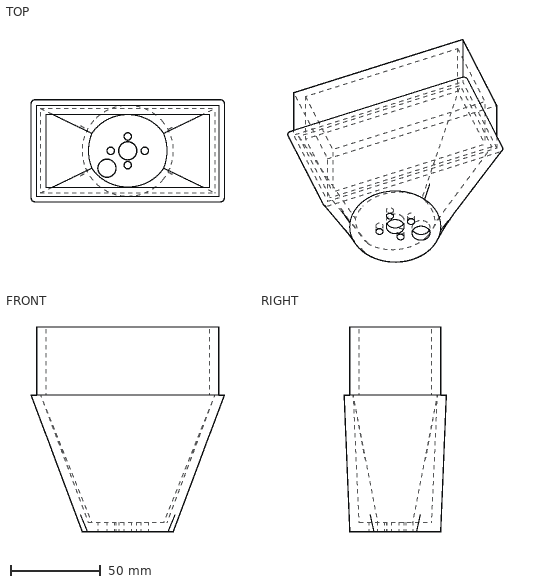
import cadquery as cq
import math

INCH = 25.4

FLANGE_X = 4.25 * INCH
FLANGE_Y = 2.25 * INCH
FUNNEL_HEIGHT = 3.0 * INCH
BASE_RADIUS = 1.0 * INCH
CORNER_RADIUS = 0.1 * INCH
WALL = 0.2 * INCH

SHOULDER = 0.125 * INCH
COLLAR_X = FLANGE_X - 2 * SHOULDER
COLLAR_Y = FLANGE_Y - 2 * SHOULDER
COLLAR_HEIGHT = 1.5 * INCH

SHAFT_HOLE_DIAMETER = 10.0
SCREW_HOLE_DIAMETER = 4.0
SCREW_SPACING_X = 19.0
SCREW_SPACING_Y = 16.0
CABLE_HOLE_DIAMETER = 10.0
CABLE_HOLE_CENTER = (-11.6, -9.7)


def rectangle_corners(size_x, size_y):
    """Corners in counterclockwise order, starting at (+X, -Y)."""
    x = size_x / 2
    y = size_y / 2
    return [(x, -y), (x, y), (-x, y), (-x, -y)]


def rectangle_wire(size_x, size_y, z):
    points = [cq.Vector(x, y, z) for x, y in rectangle_corners(size_x, size_y)]
    return cq.Wire.makePolygon(points, close=True)


def split_circle_wire(radius, size_x, size_y, z):
    """Circle split into four arcs on the diagonals of a rectangle."""
    half_angle = math.atan2(size_y, size_x)
    breaks = [-half_angle, half_angle, math.pi - half_angle, math.pi + half_angle]
    ends = breaks[1:] + [breaks[0] + 2 * math.pi]

    def point(angle):
        return cq.Vector(radius * math.cos(angle), radius * math.sin(angle), z)

    arcs = []
    for start, end in zip(breaks, ends):
        arcs.append(cq.Edge.makeThreePointArc(point(start), point((start + end) / 2), point(end)))
    return cq.Wire.assembleEdges(arcs)


def round_to_rectangle(radius, size_x, size_y, height):
    """Straight-sided transition from a circle at z = 0 to a rectangle at the given height."""
    base = split_circle_wire(radius, size_x, size_y, 0)
    top = rectangle_wire(size_x, size_y, height)
    return cq.Workplane(obj=cq.Solid.makeLoft([base, top], True))


def funnel_body():
    """Solid funnel with its four slanted corner edges rounded."""
    body = round_to_rectangle(BASE_RADIUS, FLANGE_X, FLANGE_Y, FUNNEL_HEIGHT)
    slanted_edges = body.edges(cq.selectors.BoxSelector(
        (-FLANGE_X, -FLANGE_Y, FUNNEL_HEIGHT / 4),
        (FLANGE_X, FLANGE_Y, FUNNEL_HEIGHT * 3 / 4),
    ))
    return slanted_edges.fillet(CORNER_RADIUS)


def collar_block(size_x, size_y):
    """Rectangular block as tall as the collar, standing on the flange end."""
    return (
        cq.Workplane("XY", origin=(0, 0, FUNNEL_HEIGHT))
        .rect(size_x, size_y)
        .extrude(COLLAR_HEIGHT)
    )


def horizontal_wall(size):
    """Wall thickness measured horizontally on the slanted side at the end of the given flange size."""
    run = size / 2 - BASE_RADIUS
    return WALL * math.hypot(run, FUNNEL_HEIGHT) / FUNNEL_HEIGHT


def funnel_cavity():
    """Tapered cavity following the outer sides, stopping at the floor."""
    wall_x = horizontal_wall(FLANGE_X)
    wall_y = horizontal_wall(FLANGE_Y)
    cavity = round_to_rectangle(
        BASE_RADIUS - wall_x,
        FLANGE_X - 2 * wall_x,
        FLANGE_Y - 2 * wall_y,
        FUNNEL_HEIGHT,
    )
    floor = cq.Workplane("XY").rect(FLANGE_X, FLANGE_Y).extrude(WALL)
    return cavity.cut(floor)


def floor_holes(diameter, centers):
    """Round cutters running from the underside through the floor."""
    return cq.Workplane("XY").pushPoints(centers).circle(diameter / 2).extrude(WALL)


screw_centers = [
    (SCREW_SPACING_X / 2, 0),
    (-SCREW_SPACING_X / 2, 0),
    (0, SCREW_SPACING_Y / 2),
    (0, -SCREW_SPACING_Y / 2),
]

result = (
    funnel_body()
    .union(collar_block(COLLAR_X, COLLAR_Y))
    .cut(collar_block(COLLAR_X - 2 * WALL, COLLAR_Y - 2 * WALL))
    .cut(funnel_cavity())
    .cut(floor_holes(SHAFT_HOLE_DIAMETER, [(0, 0)]))
    .cut(floor_holes(SCREW_HOLE_DIAMETER, screw_centers))
    .cut(floor_holes(CABLE_HOLE_DIAMETER, [CABLE_HOLE_CENTER]))
)